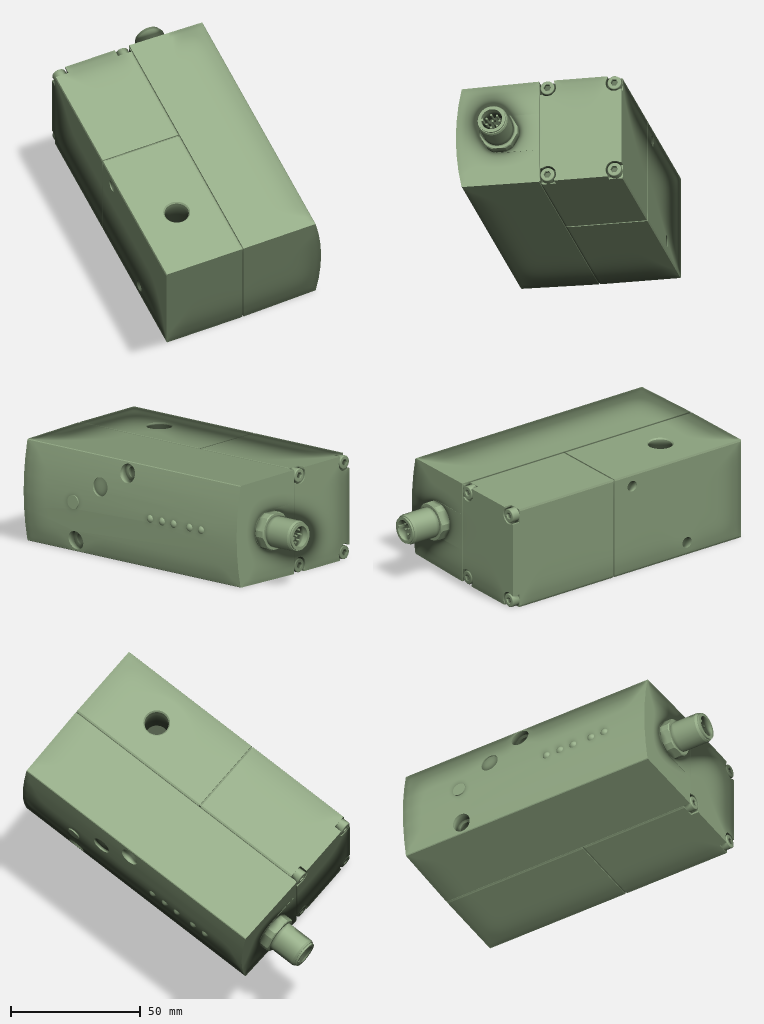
import cadquery as cq
import math

height = 41.5
half_height = height / 2
left_x = 16.6
right_x = 126.9
length = right_x - left_x
center_x = (left_x + right_x) / 2
overlap = 0.6

seam_y = 32.5
seam_gap = 0.4
seam_depth = 0.6
block_depth = seam_y - seam_gap
front_bevel_z = 0.8
front_bevel_y = 0.3
seam_bevel_y = 0.8
seam_bevel_z = 0.3
groove_x = 65.4
groove_width = 0.8
groove_depth = 0.4

draft_angle = 0.9
back_edge_y = 63.0
back_crown_y = 65.4
back_edge_bevel = 0.3

mount_holes = [(74.2, 15.6), (100.8, -15.6)]
mount_diameter = 4.5
counterbore_diameter = 7.5
counterbore_floor_y = 60.9

port_x = 100.0
port_y = 16.1
port_diameter = 10.4
port_depth = 15.2
port_chamfer = 0.5

screw_inset = 2.8
seam_screw_inset = 2.9
screw_head_diameter = 5.5
screw_head_rounding = 0.4
screw_pocket_diameter = 6.9
screw_pocket_depth = 3.2
socket_size = 2.5
socket_depth = 1.5

connector_y = 47.6
pad_width = 15.0
nut_x = 12.4
nut_flats = 14.3
nut_corner_flats = 15.1
nut_envelope_diameter = 15.5
nut_end_chamfer = 0.5
sleeve_diameter = 12.0
sleeve_chamfer_start_diameter = 11.3
sleeve_chamfer_start_x = 0.8
sleeve_chamfer_end_x = 1.6
collar_diameter = 10.7
bore_diameter = 8.2
bore_depth = 8.9
key_width = 1.0
key_height = 0.8
pin_diameter = 0.8
pin_circle_radius = 2.7
pin_count = 7
pin_tip_x = 1.9

lamp_positions = [35.4, 41.4, 49.5, 55.5, 61.5]
lamp_radius = 1.8
lamp_top_y = 66.2
button_x = 100.8
button_diameter = 5.5
button_top_y = 65.9
recess_x = 87.4
recess_z = 8.1
recess_floor_y = 64.1


def cylinder_along_x(diameter, start_x, end_x, y, z):
    disc = cq.Workplane("YZ", origin=(start_x, y, z)).circle(diameter / 2)
    return disc.extrude(end_x - start_x)


def cylinder_along_y(diameter, start_y, end_y, x, z):
    disc = cq.Workplane("XZ", origin=(x, start_y, z)).circle(diameter / 2)
    return disc.extrude(start_y - end_y)


def hexagon_along_x(flats, start_x, end_x, y, z, turn=0):
    corner_diameter = flats / math.cos(math.pi / 6)
    plane = cq.Workplane("YZ", origin=(start_x, y, z)).transformed(rotate=(0, 0, turn))
    return plane.polygon(6, corner_diameter).extrude(end_x - start_x)


def make_block():
    upper_profile = [
        (0, half_height - front_bevel_z),
        (front_bevel_y, half_height),
        (block_depth - seam_bevel_y, half_height),
        (block_depth, half_height - seam_bevel_z),
    ]
    lower_profile = [(y, -z) for y, z in reversed(upper_profile)]
    outline = cq.Workplane("YZ", origin=(left_x, 0, 0)).polyline(upper_profile + lower_profile).close()
    block = outline.extrude(length)
    groove_center = (groove_x, block_depth / 2, 0)
    slab = cq.Workplane(origin=groove_center).box(groove_width, block_depth, height)
    core_depth = block_depth - 2 * groove_depth
    core_height = height - 2 * groove_depth
    core = cq.Workplane(origin=groove_center).box(groove_width, core_depth, core_height)
    return block.cut(slab.cut(core))


def make_seam_core():
    core_length = length - 2 * seam_depth
    core_height = height - 2 * seam_depth
    seam_center_y = (block_depth + seam_y) / 2
    return cq.Workplane(origin=(center_x, seam_center_y, 0)).box(core_length, seam_gap, core_height)


def make_hood():
    seam_plane = cq.Plane(origin=(center_x, seam_y, 0), xDir=(1, 0, 0), normal=(0, 1, 0))
    drafted = cq.Workplane(seam_plane).rect(length, height).extrude(back_crown_y - seam_y, taper=draft_angle)
    envelope = (
        cq.Workplane("YZ", origin=(left_x, 0, 0))
        .moveTo(seam_y, -half_height)
        .lineTo(back_edge_y, -half_height)
        .threePointArc((back_crown_y, 0), (back_edge_y, half_height))
        .lineTo(seam_y, half_height)
        .close()
        .extrude(length)
    )
    hood = drafted.intersect(envelope)
    back_edges = hood.faces(">Z or <Z").edges(">Y")
    return back_edges.chamfer(back_edge_bevel)


def cut_mounting_holes(body):
    for x, z in mount_holes:
        body = body.cut(cylinder_along_y(mount_diameter, 0, back_crown_y, x, z))
        body = body.cut(cylinder_along_y(counterbore_diameter, counterbore_floor_y, back_crown_y, x, z))
    return body


def cut_port(body):
    mouth = cq.Workplane(origin=(port_x, port_y, half_height)).circle(port_diameter / 2)
    thread_diameter = port_diameter - 2 * port_chamfer
    bore = cq.Workplane(origin=(port_x, port_y, half_height)).circle(thread_diameter / 2).extrude(-port_depth)
    countersink = mouth.extrude(-port_chamfer, taper=45)
    return body.cut(bore).cut(countersink)


def screw_pocket(y, z, side_y, side_z):
    """Round pocket opened through both neighbouring outer faces."""
    floor_x = left_x + screw_pocket_depth
    middle_x = left_x + screw_pocket_depth / 2
    edge_distance_y = screw_inset if side_y < 0 else seam_screw_inset
    opening_y = y + side_y * edge_distance_y / 2
    opening_z = z + side_z * screw_inset / 2
    pocket = cylinder_along_x(screw_pocket_diameter, left_x, floor_x, y, z)
    through_top = cq.Workplane(origin=(middle_x, y, opening_z)).box(
        screw_pocket_depth, screw_head_diameter, screw_inset
    )
    through_side = cq.Workplane(origin=(middle_x, opening_y, z)).box(
        screw_pocket_depth, edge_distance_y, screw_head_diameter
    )
    corner = cq.Workplane(origin=(middle_x, opening_y, opening_z)).box(
        screw_pocket_depth, edge_distance_y, screw_inset
    )
    return pocket.union(through_top).union(through_side).union(corner)


def make_screw(y, z):
    root_x = left_x + screw_pocket_depth + overlap
    head = cylinder_along_x(screw_head_diameter, left_x, root_x, y, z)
    head = head.faces("<X").edges().fillet(screw_head_rounding)
    return head.cut(hexagon_along_x(socket_size, left_x, left_x + socket_depth, y, z))


def fit_screws(block):
    for y, side_y in ((screw_inset, -1), (block_depth - seam_screw_inset, 1)):
        for side_z in (-1, 1):
            z = side_z * (half_height - screw_inset)
            block = block.cut(screw_pocket(y, z, side_y, side_z)).union(make_screw(y, z))
    return block


def make_connector():
    root_x = left_x + 2 * overlap
    pad = cylinder_along_x(pad_width, left_x, root_x, connector_y, 0)
    pad_length = connector_y - seam_y
    pad_foot = cq.Workplane(
        origin=((left_x + root_x) / 2, seam_y + pad_length / 2, 0)
    ).box(root_x - left_x, pad_length, pad_width)
    nut = hexagon_along_x(nut_flats, nut_x, root_x, connector_y, 0)
    nut = nut.intersect(hexagon_along_x(nut_corner_flats, nut_x, root_x, connector_y, 0, turn=30))
    nut_envelope = cylinder_along_x(nut_envelope_diameter, nut_x, left_x, connector_y, 0)
    nut = nut.intersect(nut_envelope.faces("<X or >X").chamfer(nut_end_chamfer))
    sleeve = (
        cq.Workplane("XY")
        .moveTo(0, 0)
        .lineTo(0, collar_diameter / 2)
        .lineTo(sleeve_chamfer_start_x, collar_diameter / 2)
        .lineTo(sleeve_chamfer_start_x, sleeve_chamfer_start_diameter / 2)
        .lineTo(sleeve_chamfer_end_x, sleeve_diameter / 2)
        .lineTo(root_x, sleeve_diameter / 2)
        .lineTo(root_x, 0)
        .close()
        .revolve(360, (0, 0, 0), (1, 0, 0))
        .translate((0, connector_y, 0))
    )
    connector = pad.union(pad_foot).union(nut).union(sleeve)
    connector = connector.cut(cylinder_along_x(bore_diameter, 0, bore_depth, connector_y, 0))

    key_y = connector_y + bore_diameter / 2
    key = cq.Workplane(origin=(bore_depth / 2, key_y, 0)).box(bore_depth, 2 * key_height, key_width)
    connector = connector.union(key)

    pin_centers = [(connector_y, 0)]
    for i in range(pin_count):
        angle = math.pi + 2 * math.pi * i / pin_count
        pin_centers.append(
            (connector_y + pin_circle_radius * math.cos(angle), pin_circle_radius * math.sin(angle))
        )
    for y, z in pin_centers:
        connector = connector.union(cylinder_along_x(pin_diameter, pin_tip_x, bore_depth + overlap, y, z))
    return connector


def fit_operating_elements(body):
    recess = cylinder_along_y(counterbore_diameter, recess_floor_y, back_crown_y, recess_x, recess_z)
    body = body.cut(recess)
    body = body.union(cylinder_along_y(button_diameter, recess_floor_y, button_top_y, button_x, 0))
    for x in lamp_positions:
        lamp_base = cylinder_along_y(2 * lamp_radius, recess_floor_y, lamp_top_y, x, 0)
        ball = cq.Workplane().sphere(lamp_radius).rotate((0, 0, 0), (1, 0, 0), 90)
        lamp = lamp_base.intersect(ball.translate((x, lamp_top_y - lamp_radius, 0)))
        body = body.union(lamp)
    return body


body = fit_screws(make_block())
body = body.union(make_seam_core()).union(make_hood())
body = cut_mounting_holes(body)
body = cut_port(body)
body = fit_operating_elements(body)
result = body.union(make_connector())